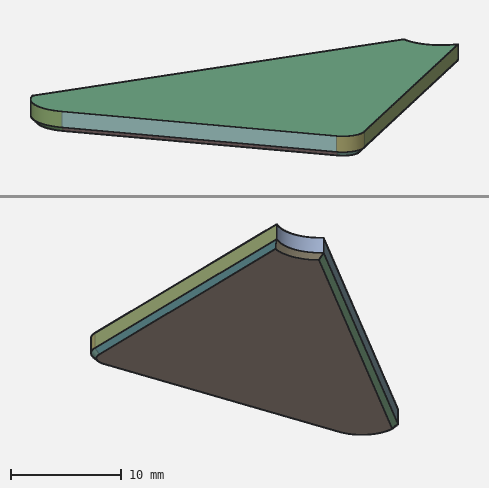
import cadquery as cq
import math

width = 32.0
depth = 30.85
large_radius = 4.0
small_radius = large_radius / 2
thickness = large_radius / 2
bottom_chamfer = large_radius / 8

slope_top_x = depth - large_radius
notch_half_chord = (width - slope_top_x) / 2
notch_depth = large_radius - math.sqrt(large_radius**2 - notch_half_chord**2)
notch_bottom = (width - notch_half_chord, depth - notch_depth)


def corner_middle(center_x, center_y, radius, side):
    """Middle of a lower corner arc; side is -1 for left and 1 for right."""
    offset = radius / math.sqrt(2)
    return (center_x + side * offset, center_y - offset)


plate = (
    cq.Workplane("XY")
    .moveTo(large_radius, 0)
    .lineTo(width - small_radius, 0)
    .threePointArc(
        corner_middle(width - small_radius, small_radius, small_radius, 1),
        (width, small_radius),
    )
    .lineTo(width, depth)
    .threePointArc(notch_bottom, (slope_top_x, depth))
    .lineTo(0, large_radius)
    .threePointArc(
        corner_middle(large_radius, large_radius, large_radius, -1),
        (large_radius, 0),
    )
    .close()
    .extrude(thickness)
)

result = plate.faces("<Z").chamfer(bottom_chamfer)